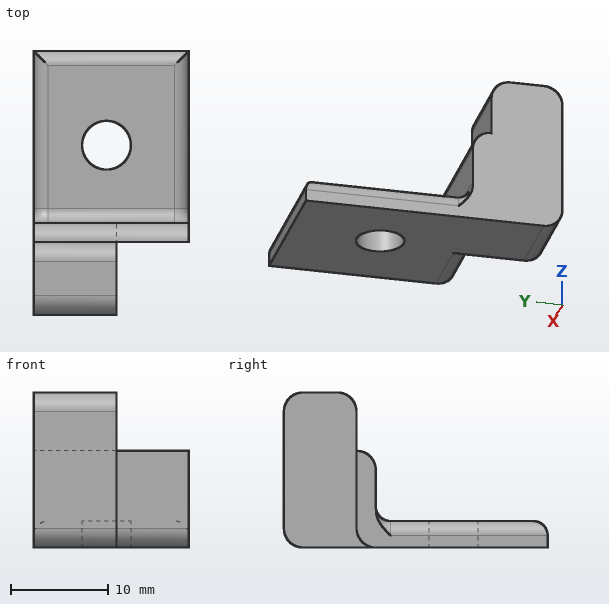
import cadquery as cq

width = 16.0
length = 27.22
height = 16.0

head_width = 8.55
head_depth = 7.5
wall_height = 10.0
corner_radius = 2.0
wall_back = head_depth + corner_radius

plate_thickness = 2.75
edge_radius = 1.5
root_radius = 1.5
edge_axis_height = plate_thickness - edge_radius

hole_diameter = 5.0
hole_x = 7.5
hole_y = 17.5


def block(x_size, y_start, y_end, z_size):
    """Block standing on the base plane with its left face at X = 0."""
    body = cq.Workplane("XY").box(x_size, y_end - y_start, z_size, centered=False)
    return body.translate((0, y_start, 0))


def make_head():
    """Tall rounded head with a square foot reaching back under the wall."""
    head = block(head_width, 0, head_depth, height)
    head = head.edges("|X and (<Y or >Z)").fillet(corner_radius)
    return head.union(block(head_width, head_depth, wall_back, plate_thickness))


def make_wall():
    """Full-width wall whose top back and bottom front edges are quarter rounds of its full depth."""
    diagonal = corner_radius * 0.5 ** 0.5
    profile = (
        cq.Workplane("YZ")
        .moveTo(head_depth, corner_radius)
        .lineTo(head_depth, wall_height)
        .threePointArc(
            (head_depth + diagonal, wall_height - corner_radius + diagonal),
            (wall_back, wall_height - corner_radius),
        )
        .lineTo(wall_back, 0)
        .threePointArc(
            (wall_back - diagonal, corner_radius - diagonal),
            (head_depth, corner_radius),
        )
        .close()
    )
    return profile.extrude(width)


def make_plate():
    """Plate with its side and back top edges rounded."""
    plate = block(width, wall_back, length, plate_thickness)
    return plate.faces(">Z").edges("<X or >X or >Y").fillet(edge_radius)


def root_section(x, foot_height):
    """Section of the root blend on a plane of constant X, from foot height up to its concave arc."""
    root_end = wall_back + root_radius
    arc_middle = root_radius * (1 - 0.5 ** 0.5)
    return (
        cq.Workplane("YZ", origin=(x, 0, 0))
        .moveTo(wall_back, foot_height)
        .lineTo(root_end, foot_height)
        .lineTo(root_end, plate_thickness)
        .threePointArc(
            (wall_back + arc_middle, plate_thickness + arc_middle),
            (wall_back, plate_thickness + root_radius),
        )
        .close()
    )


def make_root_blend():
    """Concave blend that follows the plate's top and turns around its rounded side edges."""
    straight_length = width - 2 * edge_radius
    blend = root_section(edge_radius, edge_axis_height).extrude(straight_length)
    for axis_x in (edge_radius, width - edge_radius):
        axis_start = (0, edge_axis_height)
        axis_end = (1, edge_axis_height)
        turn = root_section(axis_x, edge_axis_height).revolve(360, axis_start, axis_end)
        blend = blend.union(turn)
    return blend.intersect(block(width, 0, length, height))


hole = (
    cq.Workplane("XY")
    .center(hole_x, hole_y)
    .circle(hole_diameter / 2)
    .extrude(plate_thickness)
)

result = make_wall().union(make_plate()).union(make_root_blend()).union(make_head()).cut(hole)